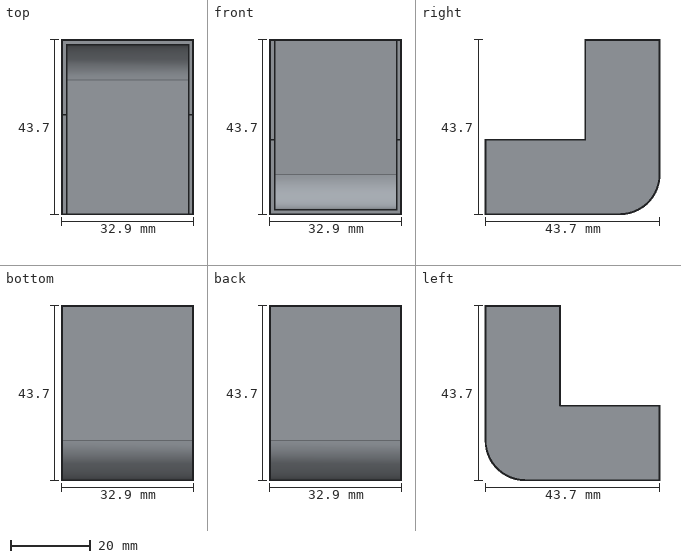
import cadquery as cq

width = 32.9
leg_length = 43.7
leg_depth = 18.7
wall = 1.2
outer_radius = 10.0
inner_radius = outer_radius - wall


def elbow(offset, depth, radius, thickness):
    """L profile in the YZ plane, centred on X, with a rounded outer corner.

    The back and bottom faces lie `offset` inside the overall back and bottom.
    """
    back = leg_length - offset
    bottom = offset
    return (
        cq.Workplane("YZ")
        .moveTo(0, bottom)
        .lineTo(back - radius, bottom)
        .radiusArc((back, bottom + radius), -radius)
        .lineTo(back, leg_length)
        .lineTo(leg_length - depth, leg_length)
        .lineTo(leg_length - depth, depth)
        .lineTo(0, depth)
        .close()
        .extrude(thickness / 2, both=True)
    )


body = elbow(0, leg_depth, outer_radius, width)
cavity = elbow(wall, leg_depth, inner_radius, width - 2 * wall)
result = body.cut(cavity)